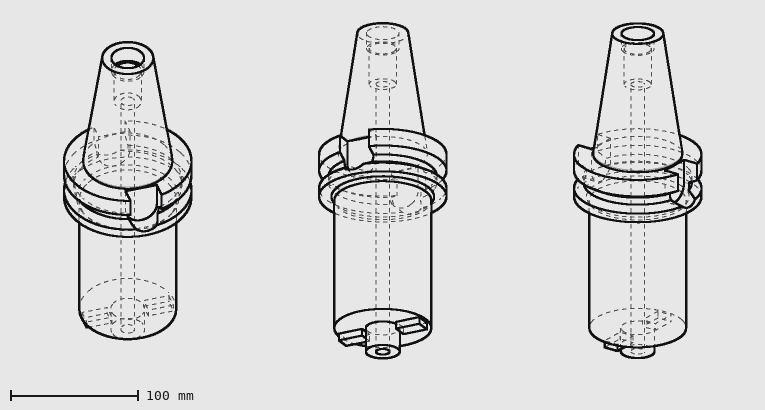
import cadquery as cq

total_height = 271.8
pilot_length = 20.0
taper_length = 101.7
collar_height = 1.5
flange_height = 36.1
neck_height = 3.3

flange_radius = 50.0
groove_radius = 42.5
body_radius = 38.0
neck_radius = 40.2
pilot_radius = 13.3
taper_large_radius = 34.93
taper_rate = 7 / 48
taper_small_radius = taper_large_radius - taper_rate * taper_length

groove_start = 14.0
groove_wall_height = 4.3
groove_floor_height = 6.0

slot_width = 25.5
slot_depth = 32.0
slot_floor_x = 35.5

key_width = 12.5
key_height = 5.7
key_inner_y = 15.0
key_outer_y = 35.5

socket_radius = 12.8
socket_depth = 13.0
thread_radius = 10.5
thread_depth = 43.5
through_radius = 5.5

body_bottom = pilot_length
taper_bottom = total_height - taper_length
flange_top = taper_bottom - collar_height
flange_bottom = flange_top - flange_height
neck_bottom = flange_bottom - neck_height
groove_top = flange_top - groove_start
groove_floor_top = groove_top - groove_wall_height
groove_floor_bottom = groove_floor_top - groove_floor_height
groove_bottom = groove_floor_bottom - groove_wall_height


def make_holder():
    """Revolved pilot, body, grooved flange and taper."""
    profile = [
        (0, 0),
        (pilot_radius, 0),
        (pilot_radius, body_bottom),
        (body_radius, body_bottom),
        (body_radius, neck_bottom),
        (neck_radius, flange_bottom),
        (flange_radius, flange_bottom),
        (flange_radius, groove_bottom),
        (groove_radius, groove_floor_bottom),
        (groove_radius, groove_floor_top),
        (flange_radius, groove_top),
        (flange_radius, flange_top),
        (taper_large_radius, flange_top),
        (taper_large_radius, taper_bottom),
        (taper_small_radius, total_height),
        (0, total_height),
    ]
    return cq.Workplane("XZ").polyline(profile).close().revolve(360, (0, 0), (0, 1))


def make_drive_slot():
    """Round-bottomed slot cutter on the +X side, open at the flange top."""
    half_width = slot_width / 2
    slot_bottom = flange_top - slot_depth
    arc_center_z = slot_bottom + half_width
    return (
        cq.Workplane("YZ", origin=(slot_floor_x, 0, 0))
        .moveTo(-half_width, flange_top)
        .lineTo(-half_width, arc_center_z)
        .threePointArc((0, slot_bottom), (half_width, arc_center_z))
        .lineTo(half_width, flange_top)
        .close()
        .extrude(flange_radius - slot_floor_x)
    )


def make_drive_key():
    """Rectangular key under the body on the +Y side."""
    key_length = key_outer_y - key_inner_y
    return (
        cq.Workplane("XY", origin=(0, key_inner_y + key_length / 2, body_bottom))
        .rect(key_width, key_length)
        .extrude(-key_height)
    )


def make_bore(radius, depth):
    """Bore cutter on the axis, entering from the small end of the taper."""
    return cq.Workplane("XY", origin=(0, 0, total_height)).circle(radius).extrude(-depth)


result = make_holder()

for angle in (0, 180):
    result = result.cut(make_drive_slot().rotate((0, 0, 0), (0, 0, 1), angle))
    result = result.union(make_drive_key().rotate((0, 0, 0), (0, 0, 1), angle))

for bore_radius, bore_depth in (
    (socket_radius, socket_depth),
    (thread_radius, thread_depth),
    (through_radius, total_height),
):
    result = result.cut(make_bore(bore_radius, bore_depth))